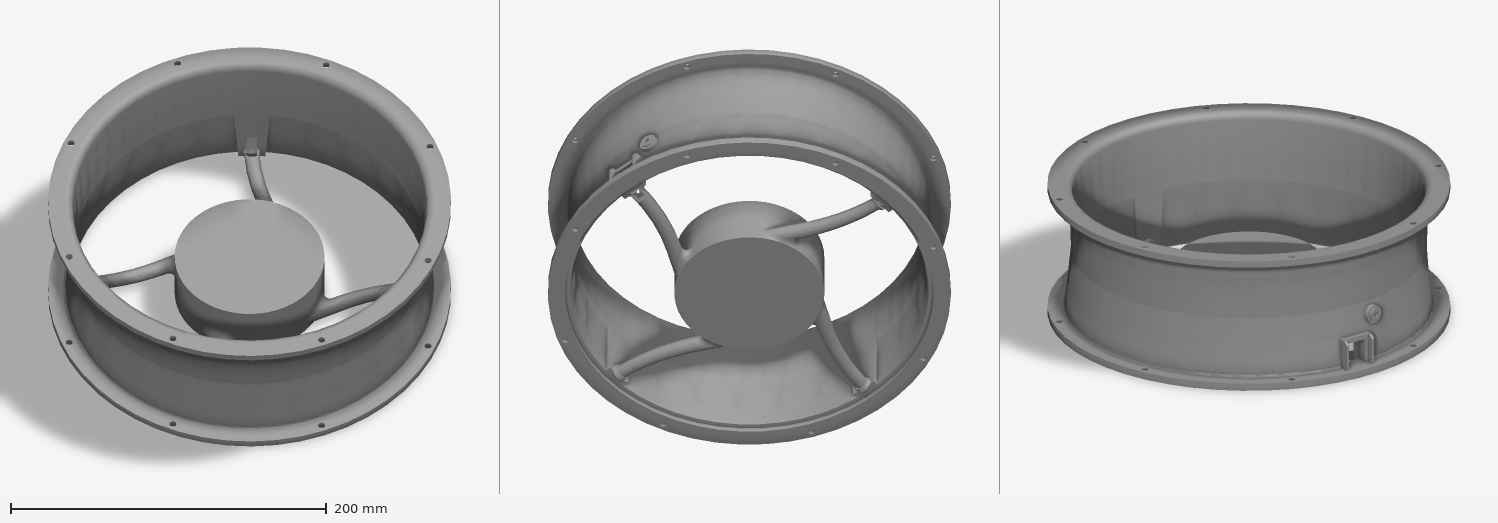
import cadquery as cq
import math

height = 89.0
flange_radius = 127.5
bottom_flange_thickness = 4.8
top_flange_thickness = 4.3

wall_thickness = 2.8
waist_height = 43.9
waist_outer_radius = 112.7
waist_inner_radius = waist_outer_radius - wall_thickness
bottom_outer_radius = 116.5
bottom_inner_radius = bottom_outer_radius - wall_thickness
bottom_fillet_radius = 1.5
outlet_recess_radius = bottom_outer_radius
outlet_recess_depth = 3.3
top_outer_radius = 114.8
top_fillet_radius = 2.5
inlet_lip_radius = 5.0
inlet_inner_radius = 112.0

bolt_count = 8
bolt_circle_radius = 123.0
bolt_hole_diameter = 4.3

hub_radius = 47.5
hub_height = 35.0
hub_strut_fillet = 4.3

strut_count = 4
strut_pitch_angle = 360 / strut_count
strut_wall_angle = 157.5
strut_axis_height = 6.0
strut_offset = 34.5
strut_inner_x = -15.3
strut_root_x = -46.0
strut_low_x = -56.0
strut_hub_diameter = 9.7
strut_wall_diameter = 8.2
strut_end_radius = 111.2
collar_diameter = 11.7
collar_tip_diameter = 10.0
collar_length = 2.3

pad_top_width = 22.7
pad_bottom_width = 16.8
pad_wedge_margin = 5.0

frame_width = 21.2
frame_top = 24.0
frame_outer_radius = 122.5
frame_plate_radius = 118.3
frame_root_radius = 112.2
frame_post_thickness = 1.8
frame_post_chamfer = 2.3
window_width = 13.8
window_top = 21.0

slot_width = 6.6
slot_inner_radius = 103.0
slot_outer_radius = 110.7

screw_angle = 165.2
screw_height = 34.7
screw_root_radius = 111.7
screw_collar_diameter = 11.7
screw_collar_radius = 116.8
screw_head_diameter = 8.7
screw_head_radius = 118.0
screw_socket_diameter = 3.5
screw_socket_depth = 1.5


def radial_box(inner, outer, width, bottom, top):
    """Box along +X, centred on the XZ plane, between two distances from the axis."""
    box = cq.Workplane("XY").box(outer - inner, width, top - bottom, centered=(False, True, False))
    return box.translate((inner, 0, bottom))


def turned(body, angle):
    """Turn a body about the housing axis."""
    return body.rotate((0, 0, 0), (0, 0, 1), angle)


def radial_cylinder(inner, outer, diameter, axis_height):
    """Cylinder along +X between two distances from the housing axis."""
    plane = cq.Workplane("YZ", origin=(inner, 0, axis_height))
    return plane.circle(diameter / 2).extrude(outer - inner)


def waist_arc_middle(waist_radius, end_radius, end_height):
    """Middle point of the wall arc that leaves the waist upright and widens upward."""
    return (
        waist_radius + (end_radius - waist_radius) / 4,
        (waist_height + end_height) / 2,
    )


def make_housing():
    """Both flanges, the waisted wall and the rounded inlet, as one turned profile."""
    flange_underside = height - top_flange_thickness
    outer_lip_radius = top_outer_radius + top_fillet_radius
    inner_lip_radius = inlet_inner_radius + inlet_lip_radius
    outer_arc_height = flange_underside - top_fillet_radius
    inner_arc_height = height - inlet_lip_radius
    slant = math.sqrt(0.5)
    profile = (
        cq.Workplane("XZ")
        .moveTo(bottom_inner_radius, 0)
        .lineTo(flange_radius, 0)
        .lineTo(flange_radius, bottom_flange_thickness)
        .lineTo(bottom_outer_radius + bottom_fillet_radius, bottom_flange_thickness)
        .threePointArc(
            (
                bottom_outer_radius + bottom_fillet_radius * (1 - slant),
                bottom_flange_thickness + bottom_fillet_radius * (1 - slant),
            ),
            (bottom_outer_radius, bottom_flange_thickness + bottom_fillet_radius),
        )
        .lineTo(waist_outer_radius, waist_height)
        .threePointArc(
            waist_arc_middle(waist_outer_radius, top_outer_radius, outer_arc_height),
            (top_outer_radius, outer_arc_height),
        )
        .threePointArc(
            (
                outer_lip_radius - top_fillet_radius * slant,
                flange_underside - top_fillet_radius * (1 - slant),
            ),
            (outer_lip_radius, flange_underside),
        )
        .lineTo(flange_radius, flange_underside)
        .lineTo(flange_radius, height)
        .lineTo(inner_lip_radius, height)
        .threePointArc(
            (
                inner_lip_radius - inlet_lip_radius * slant,
                height - inlet_lip_radius * (1 - slant),
            ),
            (inlet_inner_radius, inner_arc_height),
        )
        .threePointArc(
            waist_arc_middle(waist_inner_radius, inlet_inner_radius, inner_arc_height),
            (waist_inner_radius, waist_height),
        )
        .close()
    )
    return profile.revolve(360, (0, 0, 0), (0, 1, 0))


def make_bolt_holes():
    """Cutters for the bolt holes, through both flanges."""
    circle = cq.Workplane("XY").polarArray(bolt_circle_radius, 0, 360, bolt_count)
    return circle.circle(bolt_hole_diameter / 2).extrude(height)


def make_pads():
    """Tapered pads that carry the waist bore down to the bottom of the housing."""
    cone_envelope = (
        cq.Workplane("XZ")
        .moveTo(waist_inner_radius, 0)
        .lineTo(bottom_outer_radius, 0)
        .lineTo(waist_outer_radius, waist_height)
        .lineTo(waist_inner_radius, waist_height)
        .close()
        .revolve(360, (0, 0, 0), (0, 1, 0))
    )
    wedge = (
        cq.Workplane("YZ", origin=(waist_inner_radius - pad_wedge_margin, 0, 0))
        .moveTo(-pad_bottom_width / 2, 0)
        .lineTo(pad_bottom_width / 2, 0)
        .lineTo(pad_top_width / 2, waist_height)
        .lineTo(-pad_top_width / 2, waist_height)
        .close()
        .extrude(bottom_outer_radius - waist_inner_radius + 2 * pad_wedge_margin)
    )
    pad = wedge.intersect(cone_envelope)
    pads = turned(pad, strut_wall_angle)
    for index in range(1, strut_count):
        pads = pads.union(turned(pad, strut_wall_angle + index * strut_pitch_angle))
    return pads


wall_angle = math.radians(strut_wall_angle)
strut_end_x = strut_end_radius * math.cos(wall_angle)
strut_end_y = strut_end_radius * math.sin(wall_angle)
bend_run = strut_low_x - strut_end_x
bend_rise = strut_end_y - strut_offset
bend_radius = (bend_run**2 + bend_rise**2) / (2 * bend_rise)


def bend_angle_at(x):
    """Slope angle of the strut arc at x, zero at its point nearest the X axis."""
    return math.asin((x - strut_low_x) / bend_radius)


def bend_point(angle):
    """Point on the centre line of the strut arc at a slope angle."""
    return cq.Vector(
        strut_low_x + bend_radius * math.sin(angle),
        strut_offset + bend_radius * (1 - math.cos(angle)),
        strut_axis_height,
    )


def outward_direction(angle):
    """Direction along the strut arc toward the wall at a slope angle."""
    return cq.Vector(-math.cos(angle), -math.sin(angle), 0)


def make_bent_strut(wall_diameter):
    """Outer stretch of the first strut, bending on an arc and tapering to the wall."""
    root_angle = bend_angle_at(strut_root_x)
    end_angle = bend_angle_at(strut_end_x)
    start = bend_point(root_angle)
    end = bend_point(end_angle)
    path = cq.Edge.makeThreePointArc(start, bend_point((root_angle + end_angle) / 2), end)
    start_circle = cq.Wire.makeCircle(strut_hub_diameter / 2, start, outward_direction(root_angle))
    end_circle = cq.Wire.makeCircle(wall_diameter / 2, end, outward_direction(end_angle))
    return cq.Workplane(cq.Solid.sweep_multi([start_circle, end_circle], path))


def make_hub():
    """Motor hub with the straight strut roots blended into its side."""
    hub = cq.Workplane("XY").circle(hub_radius).extrude(hub_height)
    root_angle = bend_angle_at(strut_root_x)
    root = cq.Solid.makeCylinder(
        strut_hub_diameter / 2,
        (strut_inner_x - strut_root_x) / math.cos(root_angle),
        bend_point(root_angle),
        -outward_direction(root_angle),
    )
    for index in range(strut_count):
        hub = hub.union(turned(cq.Workplane(root), index * strut_pitch_angle))
    return hub.edges("%BSPLINE").fillet(hub_strut_fillet)


def make_spider():
    """Hub, bent struts and the collars where the struts meet their pads."""
    spider = make_hub()
    collar = cq.Workplane(
        cq.Solid.makeCone(
            collar_tip_diameter / 2,
            collar_diameter / 2,
            collar_length,
            cq.Vector(waist_inner_radius - collar_length, 0, strut_axis_height),
            cq.Vector(1, 0, 0),
        )
    )
    for index in range(strut_count):
        carries_cable = index == 0
        wall_diameter = strut_hub_diameter if carries_cable else strut_wall_diameter
        turn = index * strut_pitch_angle
        spider = spider.union(turned(make_bent_strut(wall_diameter), turn))
        spider = spider.union(turned(collar, strut_wall_angle + turn))
    return spider


def make_cable_frame():
    """Flat plate on the wall between two posts with bevelled tops."""
    plate = radial_box(
        frame_root_radius, frame_plate_radius, frame_width, bottom_flange_thickness, frame_top
    )
    post = radial_box(
        frame_root_radius, frame_outer_radius, frame_post_thickness, bottom_flange_thickness, frame_top
    )
    post = post.faces(">X").edges(">Z").chamfer(frame_post_chamfer)
    post_offset = (frame_width - frame_post_thickness) / 2
    frame = plate
    for side in (-1, 1):
        frame = frame.union(post.translate((0, side * post_offset, 0)))
    return turned(frame, strut_wall_angle)


def make_cable_passage():
    """Cutters for the window through the wall and the slot down through the strut end."""
    window = radial_box(
        waist_inner_radius, frame_plate_radius, window_width, bottom_flange_thickness, window_top
    )
    slot = radial_box(slot_inner_radius, slot_outer_radius, slot_width, 0, window_top)
    return turned(window.union(slot), strut_wall_angle)


def make_earth_screw():
    """Stepped round screw boss with a blind socket in its head."""
    collar = radial_cylinder(
        screw_root_radius, screw_collar_radius, screw_collar_diameter, screw_height
    )
    head = radial_cylinder(screw_root_radius, screw_head_radius, screw_head_diameter, screw_height)
    socket = radial_cylinder(
        screw_head_radius - screw_socket_depth, screw_head_radius, screw_socket_diameter, screw_height
    )
    return turned(collar.union(head).cut(socket), screw_angle)


outlet_recess = cq.Workplane("XY").circle(outlet_recess_radius).extrude(outlet_recess_depth)

housing = make_housing().union(make_pads()).cut(make_bolt_holes()).cut(outlet_recess)
housing = housing.union(make_cable_frame()).union(make_earth_screw())
result = housing.union(make_spider()).cut(make_cable_passage())